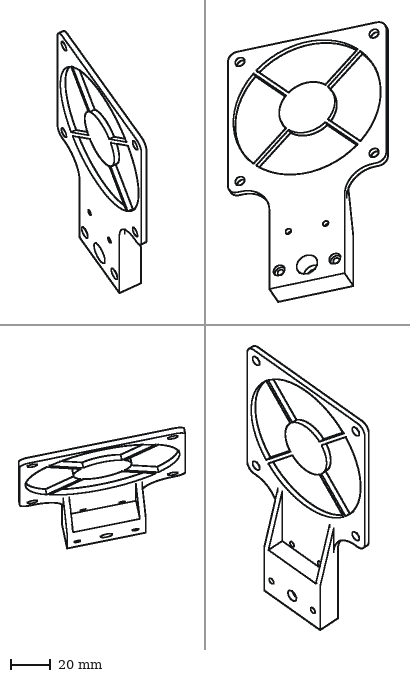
import cadquery as cq
import math

height = 147.5
frame_side = 85.0
plate_thickness = 3.0
corner_radius = 5.0

opening_diameter = 79.0
hub_diameter = 30.0
spoke_width = 2.0
frame_hole_diameter = 5.0
frame_hole_spacing = 72.0

tail_width = 40.4
neck_radius = 15.0
block_depth = 12.5
block_height = 30.0
rib_top = 64.0
rib_thickness = 3.1

mount_hole_height = 10.0
center_hole_diameter = 6.0
center_bore_diameter = 11.0
center_bore_depth = 9.6
side_hole_diameter = 3.2
side_bore_diameter = 6.0
side_bore_depth = 2.0
side_hole_spacing = 30.0
pin_hole_diameter = 3.0
pin_hole_spacing = 20.0
pin_hole_height = 32.5

frame_half = frame_side / 2
tail_half = tail_width / 2
frame_bottom = height - frame_side
fan_center = height - frame_half


def cylinder(x, z, diameter, depth):
    """Cylinder along Y, starting at the front face."""
    center = cq.Vector(x, 0, z)
    return cq.Workplane(cq.Solid.makeCylinder(diameter / 2, depth, center, cq.Vector(0, 1, 0)))


def make_frame():
    """Square fan frame with rounded corners and an open centre."""
    frame = (
        cq.Workplane("XY")
        .box(frame_side, plate_thickness, frame_side, centered=(True, False, True))
        .edges("|Y")
        .fillet(corner_radius)
        .translate((0, 0, fan_center))
    )
    return frame.cut(cylinder(0, fan_center, opening_diameter, plate_thickness))


def make_hub():
    """Hub disc and the two crossed bars that form its four spokes."""
    hub = cylinder(0, fan_center, hub_diameter, plate_thickness)
    bar_length = opening_diameter + 2 * spoke_width
    for angle in (45, -45):
        bar = (
            cq.Workplane("XY")
            .box(bar_length, plate_thickness, spoke_width, centered=(True, False, True))
            .rotate((0, 0, 0), (0, 1, 0), angle)
            .translate((0, 0, fan_center))
        )
        hub = hub.union(bar)
    return hub


def make_tail():
    """Flat tail that flares into the frame through two concave arcs."""
    neck_bottom = frame_bottom - neck_radius
    neck_half = tail_half + neck_radius
    arc_offset = neck_radius * (1 - math.sqrt(0.5))
    arc_x = tail_half + arc_offset
    arc_z = frame_bottom - arc_offset
    outline = (
        cq.Workplane("XZ")
        .moveTo(-tail_half, 0)
        .lineTo(tail_half, 0)
        .lineTo(tail_half, neck_bottom)
        .threePointArc((arc_x, arc_z), (neck_half, frame_bottom))
        .lineTo(-neck_half, frame_bottom)
        .threePointArc((-arc_x, arc_z), (-tail_half, neck_bottom))
        .close()
    )
    return outline.extrude(-plate_thickness)


def make_block():
    """Thick foot of the tail with a tapered rib along each side."""
    block = cq.Workplane("XY").box(
        tail_width, block_depth, block_height, centered=(True, False, False)
    )
    rib = (
        cq.Workplane("YZ")
        .moveTo(0, 0)
        .lineTo(block_depth, 0)
        .lineTo(block_depth, block_height)
        .lineTo(plate_thickness, rib_top)
        .lineTo(0, rib_top)
        .close()
        .extrude(rib_thickness)
    )
    for rib_start in (-tail_half, tail_half - rib_thickness):
        block = block.union(rib.translate((rib_start, 0, 0)))
    return block


def cut_holes(body):
    """Frame, pin and counterbored mounting holes, all along Y."""
    for side in (-1, 1):
        frame_x = side * frame_hole_spacing / 2
        for level in (-1, 1):
            frame_z = fan_center + level * frame_hole_spacing / 2
            body = body.cut(cylinder(frame_x, frame_z, frame_hole_diameter, plate_thickness))
        pin_x = side * pin_hole_spacing / 2
        body = body.cut(cylinder(pin_x, pin_hole_height, pin_hole_diameter, block_depth))
        side_x = side * side_hole_spacing / 2
        body = body.cut(cylinder(side_x, mount_hole_height, side_hole_diameter, block_depth))
        body = body.cut(cylinder(side_x, mount_hole_height, side_bore_diameter, side_bore_depth))
    body = body.cut(cylinder(0, mount_hole_height, center_hole_diameter, block_depth))
    return body.cut(cylinder(0, mount_hole_height, center_bore_diameter, center_bore_depth))


body = make_frame().union(make_hub()).union(make_tail()).union(make_block())
result = cut_holes(body)